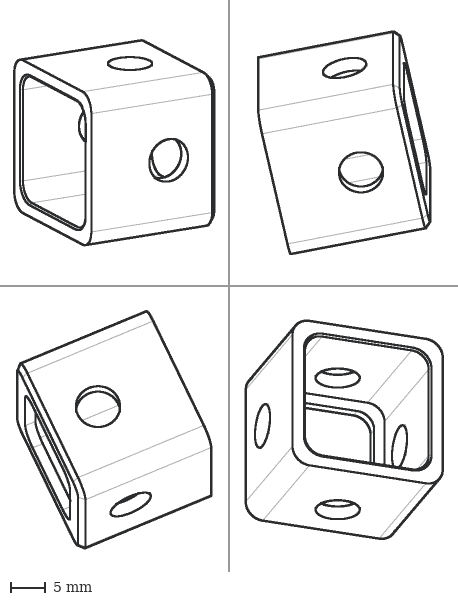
import cadquery as cq

outer_width = 22.99
length = 20.6375
outer_corner_radius = 2.6
end_chamfer = 0.8

bore_width = 18.9
bore_corner_radius = 2.6
mouth_chamfer = 0.32

end_wall = 1.6
window_width = 15.75
window_corner_radius = 2.6

cross_hole_diameter = 6.35
cross_hole_from_end = 7.9375


def rounded_square_bar(width, corner_radius, y_start, y_end):
    """Square bar along Y, centred on the Y axis, with rounded long edges."""
    bar = cq.Workplane("XY").box(width, y_end - y_start, width)
    bar = bar.edges("|Y").fillet(corner_radius)
    return bar.translate((0, (y_start + y_end) / 2, 0))


def make_body():
    body = rounded_square_bar(outer_width, outer_corner_radius, 0, length)
    return body.faces(">Y").chamfer(end_chamfer)


def make_bore():
    """Blind bore from the mouth, flared at the mouth by a small chamfer."""
    bore = rounded_square_bar(bore_width, bore_corner_radius, 0, length - end_wall)
    flare = rounded_square_bar(
        bore_width + 2 * mouth_chamfer,
        bore_corner_radius + mouth_chamfer,
        -mouth_chamfer,
        mouth_chamfer,
    )
    flare = flare.faces(">Y").chamfer(mouth_chamfer)
    return bore.union(flare)


def make_window():
    return rounded_square_bar(window_width, window_corner_radius, 0, length)


def make_cross_hole(plane):
    """Round hole through two opposite walls, drilled along the plane's normal."""
    hole = cq.Workplane(plane).circle(cross_hole_diameter / 2).extrude(outer_width, both=True)
    return hole.translate((0, length - cross_hole_from_end, 0))


result = make_body().cut(make_bore()).cut(make_window())
for hole_plane in ("XY", "YZ"):
    result = result.cut(make_cross_hole(hole_plane))